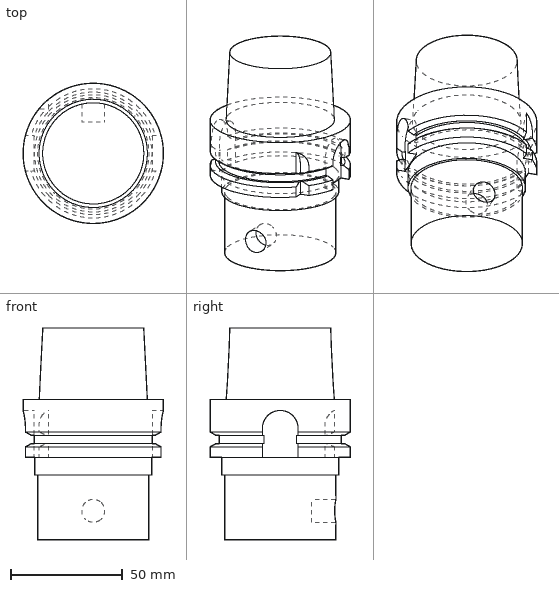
import cadquery as cq
import math

total_height = 95.0
cone_length = 32.0
flange_top = total_height - cone_length
flange_height = 26.0
flange_bottom = flange_top - flange_height
collar_height = 8.0
shank_height = flange_bottom - collar_height

flange_diameter = 63.0
collar_diameter = 52.6
shank_diameter = 50.0
cone_base_diameter = 48.6
cone_taper = 0.1
cone_tip_diameter = cone_base_diameter - cone_taper * cone_length

groove_offset = 18.0
groove_center = flange_top - groove_offset
groove_width = 3.75
groove_floor_diameter = 55.0
groove_flare_diameter = 58.0
groove_flare_angle = 30.0

drive_slot_width = 16.0
drive_slot_offset = 5.0
drive_slot_top = flange_top - drive_slot_offset
drive_slot_floor = 26.5

notch_width = drive_slot_width
notch_inner_wall = 20.0
notch_floor = 20.1
notch_offset = 4.0
notch_top = flange_top - notch_offset

side_hole_diameter = 10.3
side_hole_height = 13.0
side_hole_depth = 11.0


def make_turned_body():
    """Revolve the half section of shank, collar, grooved flange and cone."""
    flange_radius = flange_diameter / 2
    flare_radius = groove_flare_diameter / 2
    floor_radius = groove_floor_diameter / 2
    half_groove = groove_width / 2
    flare_rise = (flange_radius - flare_radius) * math.tan(math.radians(groove_flare_angle))
    half_mouth = half_groove + flare_rise
    section = [
        (0, 0),
        (shank_diameter / 2, 0),
        (shank_diameter / 2, shank_height),
        (collar_diameter / 2, shank_height),
        (collar_diameter / 2, flange_bottom),
        (flange_radius, flange_bottom),
        (flange_radius, groove_center - half_mouth),
        (flare_radius, groove_center - half_groove),
        (floor_radius, groove_center - half_groove),
        (floor_radius, groove_center + half_groove),
        (flare_radius, groove_center + half_groove),
        (flange_radius, groove_center + half_mouth),
        (flange_radius, flange_top),
        (cone_base_diameter / 2, flange_top),
        (cone_tip_diameter / 2, total_height),
        (0, total_height),
    ]
    return cq.Workplane("XZ").polyline(section).close().revolve(360, (0, 0), (0, 1))


def make_slot_cutter(side, floor, center_y, width, top):
    """Round-topped cutter running along X from the slot floor out past the flange.

    side is -1 for the -X side and +1 for the +X side.
    """
    radius = width / 2
    return (
        cq.Workplane("YZ", origin=(side * floor, 0, 0))
        .moveTo(center_y - radius, flange_bottom)
        .lineTo(center_y - radius, top - radius)
        .threePointArc((center_y, top), (center_y + radius, top - radius))
        .lineTo(center_y + radius, flange_bottom)
        .close()
        .extrude(side * flange_diameter / 2)
    )


def cut_drive_slots(body):
    """Cut the two opposite drive slots through the flange rim."""
    for side in (-1, 1):
        body = body.cut(make_slot_cutter(side, drive_slot_floor, 0, drive_slot_width, drive_slot_top))
    return body


def cut_orientation_notch(body):
    """Cut the single notch that marks the angular position of the flange."""
    center_y = notch_inner_wall + notch_width / 2
    return body.cut(make_slot_cutter(-1, notch_floor, center_y, notch_width, notch_top))


def cut_side_hole(body):
    """Drill the blind radial hole into the +Y side of the shank."""
    hole = cq.Solid.makeCylinder(
        side_hole_diameter / 2,
        side_hole_depth,
        cq.Vector(0, shank_diameter / 2, side_hole_height),
        cq.Vector(0, -1, 0),
    )
    return body.cut(cq.Workplane(obj=hole))


result = make_turned_body()
result = cut_drive_slots(result)
result = cut_orientation_notch(result)
result = cut_side_hole(result)